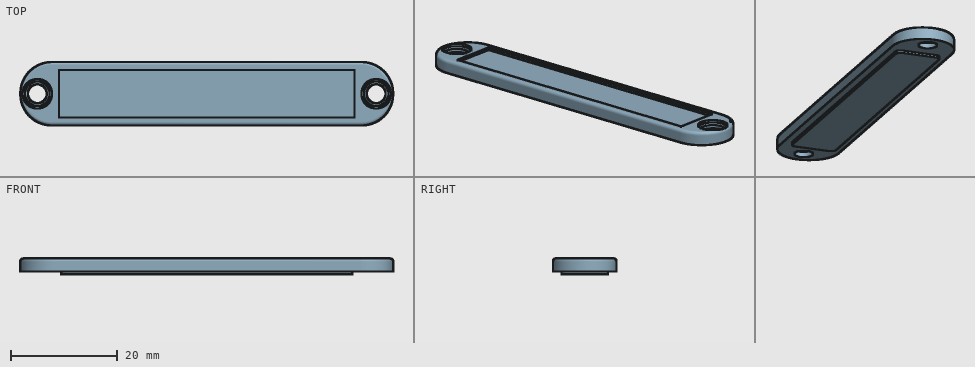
import cadquery as cq

length = 70.0
width = 12.0
plate_thickness = 2.5
top_edge_radius = 0.6

pad_length = 54.7
pad_width = 8.75
pad_height = 0.5
pad_corner_radius = 1.0

recess_length = 55.5
recess_width = 8.9
recess_depth = 0.5

hole_end_distance = 3.2
hole_diameter = 3.5
mouth_diameter = 5.5
mouth_depth = 0.5
seat_diameter = 4.6
cone_depth = 0.35
seat_depth = 1.5


def make_plate():
    plate = cq.Workplane("XY").slot2D(length, width).extrude(plate_thickness)
    return plate.faces(">Z").edges().fillet(top_edge_radius)


def make_pad():
    pad = cq.Workplane("XY").rect(pad_length, pad_width).extrude(-pad_height)
    return pad.edges("|Z").fillet(pad_corner_radius)


def make_recess():
    floor = cq.Workplane("XY").workplane(offset=plate_thickness - recess_depth)
    return floor.rect(recess_length, recess_width).extrude(recess_depth)


def make_screw_hole():
    """Stepped through hole centred on the Z axis, built as a revolved profile."""
    hole_radius = hole_diameter / 2
    seat_radius = seat_diameter / 2
    mouth_radius = mouth_diameter / 2
    seat_z = plate_thickness - seat_depth
    cone_top_z = plate_thickness - mouth_depth
    cone_bottom_z = cone_top_z - cone_depth
    profile = [
        (0, 0),
        (hole_radius, 0),
        (hole_radius, seat_z),
        (seat_radius, seat_z),
        (seat_radius, cone_bottom_z),
        (mouth_radius, cone_top_z),
        (mouth_radius, plate_thickness),
        (0, plate_thickness),
    ]
    return cq.Workplane("XZ").polyline(profile).close().revolve(360, (0, 0), (0, 1))


result = make_plate().union(make_pad()).cut(make_recess())
hole_x = length / 2 - hole_end_distance
for x in (-hole_x, hole_x):
    result = result.cut(make_screw_hole().translate((x, 0, 0)))